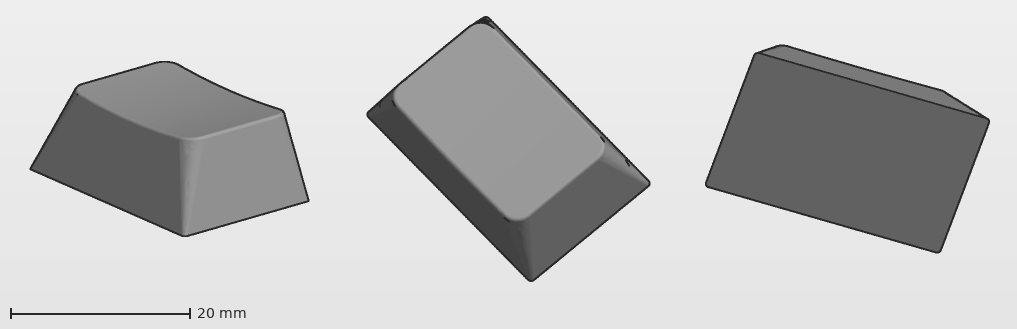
import cadquery as cq

base_width = 27.62
base_depth = 18.1
base_corner = 0.47

top_width = 21.55
top_depth = 14.35
top_corner = 2.07
top_shift = 1.52

loft_height = 9.95
dish_radius = 99.43
dish_depth = 0.65
rim_fillet = 0.4


def rounded_outline(width, depth, corner, y_center, z):
    """Rounded rectangle in a horizontal plane."""
    outline = cq.Sketch().rect(width, depth).vertices().fillet(corner)
    return outline.moved(cq.Location(cq.Vector(0, y_center, z)))


def tapered_body():
    """Straight-walled taper with corners that widen toward the top."""
    base = rounded_outline(base_width, base_depth, base_corner, 0, 0)
    top = rounded_outline(top_width, top_depth, top_corner, top_shift, loft_height)
    return cq.Workplane("XY").placeSketch(base, top).loft(ruled=True)


def finger_dish():
    """Shallow cylinder running front to back across the top."""
    axis_height = loft_height - dish_depth + dish_radius
    return (
        cq.Workplane("XZ")
        .center(0, axis_height)
        .circle(dish_radius)
        .extrude(base_depth, both=True)
    )


dished_body = tapered_body().cut(finger_dish())
result = dished_body.faces(">Z").edges().fillet(rim_fillet)